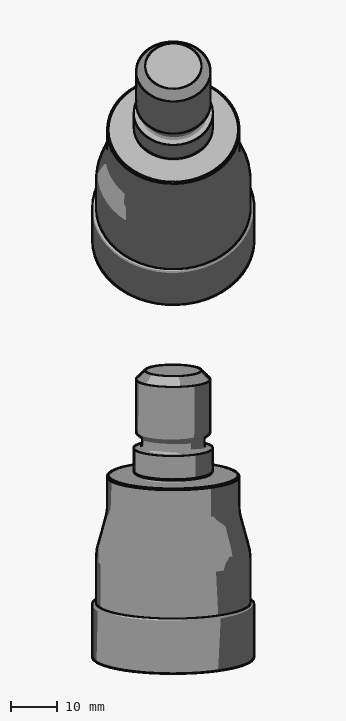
import cadquery as cq
import math

base_radius = 17.45
base_height = 12.05
base_top_fillet = 0.45
base_bottom_chamfer = 0.2
ledge_slope = math.radians(15)

barrel_radius = 16.65
barrel_top = 21.7
shoulder_radius = 14.25
shoulder_chamfer = 0.3
housing_top = 40.0
taper_angle = math.radians(15)
taper_blend = 10.0

neck_radius = 8.1
neck_fillet = 0.3
collar_radius = 8.5
collar_bottom = 40.9
collar_chamfer = collar_radius - neck_radius
collar_top = 46.0

groove_radius = 6.75
groove_fillet = 0.75
undercut_angle = math.radians(50)
undercut_blend = 0.5
stud_radius = 8.0
stud_bottom = 49.6
stud_chamfer = 1.95
stud_top = 63.0


def sloped_step(profile, start_radius, start_z, end_radius, slope, blend):
    """Continue a vertical (r, z) profile through a cone at `slope` to the axis, with a tangent arc at each end."""
    side = math.copysign(1, end_radius - start_radius)

    def arc_point(angle):
        return side * blend * (1 - math.cos(angle)), blend * math.sin(angle)

    arc_r, arc_z = arc_point(slope)
    mid_r, mid_z = arc_point(slope / 2)
    cone_r = end_radius - start_radius - 2 * arc_r
    end_z = start_z + 2 * arc_z + abs(cone_r) / math.tan(slope)
    return (
        profile.lineTo(start_radius, start_z)
        .threePointArc((start_radius + mid_r, start_z + mid_z), (start_radius + arc_r, start_z + arc_z))
        .lineTo(end_radius - arc_r, end_z - arc_z)
        .threePointArc((end_radius - mid_r, end_z - mid_z), (end_radius, end_z))
    )


def foot_fillet(profile, radius, z, fillet):
    """Run a profile inward along the level z, then up a concave quarter arc onto a cylinder."""
    inset = fillet * (1 - math.sqrt(0.5))
    return profile.lineTo(radius + fillet, z).threePointArc((radius + inset, z + inset), (radius, z + fillet))


def make_base():
    """Disc with a flat seat under the housing, a sloped ledge around it and a fillet tangent to the ledge."""
    fillet_centre_r = base_radius - base_top_fillet
    ledge_end_r = fillet_centre_r + base_top_fillet * math.sin(ledge_slope)
    ledge_end_z = base_height - (ledge_end_r - barrel_radius) * math.tan(ledge_slope)
    fillet_centre_z = ledge_end_z - base_top_fillet * math.cos(ledge_slope)
    mid_angle = (ledge_slope + math.pi / 2) / 2
    fillet_mid = (
        fillet_centre_r + base_top_fillet * math.sin(mid_angle),
        fillet_centre_z + base_top_fillet * math.cos(mid_angle),
    )
    return (
        cq.Workplane("XZ")
        .lineTo(base_radius - base_bottom_chamfer, 0)
        .lineTo(base_radius, base_bottom_chamfer)
        .lineTo(base_radius, fillet_centre_z)
        .threePointArc(fillet_mid, (ledge_end_r, ledge_end_z))
        .lineTo(barrel_radius, base_height)
        .lineTo(0, base_height)
        .close()
        .revolve(360, (0, 0, 0), (0, 1, 0))
    )


def make_housing():
    profile = cq.Workplane("XZ").moveTo(0, base_height).lineTo(barrel_radius, base_height)
    profile = sloped_step(profile, barrel_radius, barrel_top, shoulder_radius, taper_angle, taper_blend)
    profile = profile.lineTo(shoulder_radius, housing_top - shoulder_chamfer)
    profile = profile.lineTo(shoulder_radius - shoulder_chamfer, housing_top)
    profile = foot_fillet(profile, neck_radius, housing_top, neck_fillet)
    profile = profile.lineTo(neck_radius, collar_bottom - collar_chamfer)
    profile = profile.lineTo(collar_radius, collar_bottom).lineTo(collar_radius, collar_top)
    profile = foot_fillet(profile, groove_radius, collar_top, groove_fillet)
    undercut_rise = (
        (stud_radius - groove_radius) / math.tan(undercut_angle)
        + 2 * undercut_blend * math.tan(undercut_angle / 2)
    )
    profile = sloped_step(
        profile, groove_radius, stud_bottom - undercut_rise, stud_radius, undercut_angle, undercut_blend
    )
    profile = profile.lineTo(stud_radius, stud_top - stud_chamfer)
    profile = profile.lineTo(stud_radius - stud_chamfer, stud_top).lineTo(0, stud_top).close()
    return profile.revolve(360, (0, 0, 0), (0, 1, 0))


base = make_base()
housing = make_housing()
result = cq.Compound.makeCompound([base.val(), housing.val()])